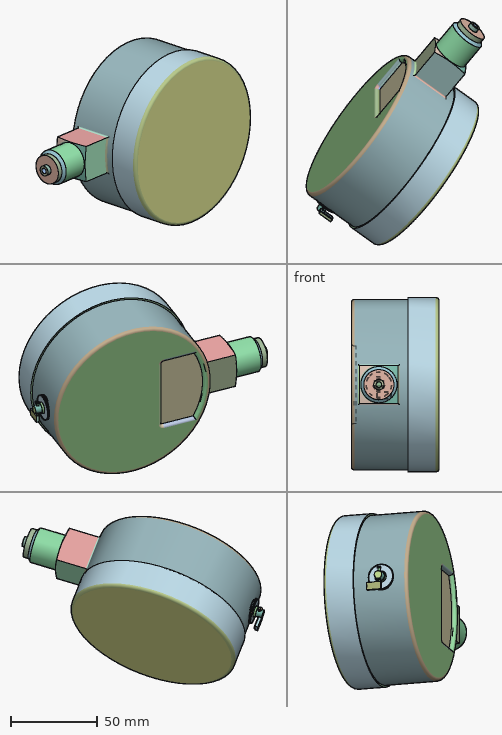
import cadquery as cq
import math


margin = 0.1

total_width = 51.0
total_length = 146.8
vent_top = 55.8
case_width = 32.7
case_radius = 99.0 / 2
bezel_radius = 101.0 / 2
edge_radius = 1.9

pocket_half_height = 22.5
pocket_inner_y = -18.0
pocket_arc_radius = 45.1
pocket_depth = 2.6
pocket_corner_radius = 1.5
pocket_lip_radius = 1.6

port_x = 16.0
block_width = 22.3
block_height = 22.0
block_end = -67.8
block_bevel_radius = 11.0
block_bevel_angle = 11
weld_radius = 0.9
thread_radius = 21.0 / 2
thread_end = -83.5
spigot_radius = 17.5 / 2
spigot_end = -88.4
nipple_radius = 6.0 / 2
nipple_end = vent_top - total_length
bore_radius = 3.2 / 2
bore_depth = 7.3

vent_top_radius = 4.5 / 2
vent_neck_radius = 5.5 / 2
collar_top = 52.0
collar_radius = 6.0 / 2
collar_base_radius = 6.9 / 2
flange_top = 50.7
groove_top = 50.4
groove_bottom = 49.6
flange_radius = 15.0 / 2
groove_radius = 14.4 / 2
seat_bottom = 48.5

pin_y = 53.5
pin_radius = 1.3 / 2
pin_top = 4.8
cap_y = 53.9
cap_radius = 2.5 / 2
cap_thickness = 0.3
arm_top = -4.0
arm_height = 4.4
arm_y = cap_y
arm_thickness = 2.0
arm_chamfer = 0.5
arm_back_overhang = 1.3
arm_end_x = 23.2


def disc(radius, y_from, y_to):
    """A cylinder about the axis of the connection and the vent."""
    length = y_to - y_from
    base = cq.Vector(port_x, y_from, 0)
    return cq.Workplane(cq.Solid.makeCylinder(radius, length, base, cq.Vector(0, 1, 0)))


def revolved(profile):
    """Turn (radius, y) points about the axis of the connection and the vent."""
    points = [(port_x + radius, y) for radius, y in profile]
    return cq.Workplane("XY").polyline(points).close().revolve(360, (port_x, 0, 0), (port_x, 1, 0))


def make_drum():
    """Round case with the wider bezel at its front, both with rounded outer edges."""
    case = cq.Workplane("YZ").circle(case_radius).extrude(case_width).faces("<X").edges().fillet(edge_radius)
    bezel = (
        cq.Workplane("YZ", origin=(case_width, 0, 0))
        .circle(bezel_radius)
        .extrude(total_width - case_width)
        .faces(">X")
        .edges()
        .fillet(edge_radius)
    )
    return case.union(bezel)


def cut_pocket(drum):
    """Shallow pocket bounded by an arc concentric with the case, with a rounded lip."""
    arc_end_y = -math.sqrt(pocket_arc_radius**2 - pocket_half_height**2)
    pocket = (
        cq.Workplane("YZ")
        .moveTo(pocket_inner_y, pocket_half_height)
        .lineTo(arc_end_y, pocket_half_height)
        .threePointArc((-pocket_arc_radius, 0), (arc_end_y, -pocket_half_height))
        .lineTo(pocket_inner_y, -pocket_half_height)
        .close()
        .extrude(pocket_depth)
        .edges("|X and >Y")
        .fillet(pocket_corner_radius)
    )
    lip = cq.selectors.BoxSelector(
        (-margin, -pocket_arc_radius - margin, -pocket_half_height - margin),
        (margin, pocket_inner_y + margin, pocket_half_height + margin),
        boundingbox=True,
    )
    return drum.cut(pocket).edges(lip).fillet(pocket_lip_radius)


def make_block():
    """Rectangular block whose end is bevelled by a shallow cone."""
    block = cq.Workplane("XY").box(block_width, -block_end, block_height).translate((port_x, block_end / 2, 0))
    corner_radius = block_width
    drop = (corner_radius - block_bevel_radius) * math.tan(math.radians(block_bevel_angle))
    envelope = revolved(
        [
            (0, 0),
            (corner_radius, 0),
            (corner_radius, block_end + drop),
            (block_bevel_radius, block_end),
            (0, block_end),
        ]
    )
    return block.intersect(envelope)


def round_weld(body):
    """Round the inner corner all around the block where it leaves the case."""
    reach = block_width / 2 + margin
    case_edge_y = -math.sqrt(case_radius**2 - (block_height / 2) ** 2)
    weld_edges = cq.selectors.BoxSelector(
        (port_x - reach, -case_radius - margin, -reach),
        (port_x + reach, case_edge_y + margin, reach),
        boundingbox=True,
    )
    return body.edges(weld_edges).fillet(weld_radius)


def make_stub():
    """Turned end of the connection: thread cylinder, bevel, spigot and bored nipple."""
    bevel = thread_radius - spigot_radius
    stub = revolved(
        [
            (0, block_end + margin),
            (thread_radius, block_end + margin),
            (thread_radius, thread_end),
            (spigot_radius, thread_end - bevel),
            (spigot_radius, spigot_end),
            (nipple_radius, spigot_end),
            (nipple_radius, nipple_end),
            (0, nipple_end),
        ]
    )
    return stub.cut(disc(bore_radius, nipple_end, nipple_end + bore_depth))


def make_vent_plug():
    """Tapered plug with a collar and a grooved flange that sits in the case."""
    return revolved(
        [
            (0, seat_bottom),
            (flange_radius, seat_bottom),
            (flange_radius, groove_bottom),
            (groove_radius, groove_bottom),
            (groove_radius, groove_top),
            (flange_radius, groove_top),
            (flange_radius, flange_top),
            (collar_base_radius, flange_top),
            (collar_radius, collar_top),
            (vent_neck_radius, collar_top),
            (vent_top_radius, vent_top),
            (0, vent_top),
        ]
    )


def make_lever():
    """Cross pin with a thin cap above and an arm below that ends in a disc."""
    pin = cq.Workplane("XY", origin=(port_x, pin_y, arm_top)).circle(pin_radius).extrude(pin_top - arm_top)
    cap = (
        cq.Workplane("XY", origin=(port_x, cap_y, pin_top - cap_thickness))
        .circle(cap_radius)
        .extrude(cap_thickness)
    )
    arm_start_x = port_x - arm_back_overhang
    arm = (
        cq.Workplane("XY")
        .box(arm_end_x - arm_start_x, arm_thickness, arm_height)
        .translate(((arm_start_x + arm_end_x) / 2, arm_y, arm_top - arm_height / 2))
        .edges("<Y")
        .chamfer(arm_chamfer)
    )
    tip = (
        cq.Workplane("YZ", origin=(arm_end_x - cap_thickness, arm_y, arm_top - arm_height / 2))
        .circle(cap_radius)
        .extrude(cap_thickness)
    )
    return pin.union(cap).union(arm).union(tip)


def make_gauge():
    """Drum with its pocket and vent recess, in one piece with the connection."""
    drum = cut_pocket(make_drum()).cut(disc(flange_radius, seat_bottom, flange_top))
    return round_weld(drum.union(make_block())).union(make_stub())


gauge = make_gauge()
lever = make_lever()
vent_plug = make_vent_plug().cut(lever)

result = cq.Compound.makeCompound([body.solids().val() for body in (gauge, vent_plug, lever)])